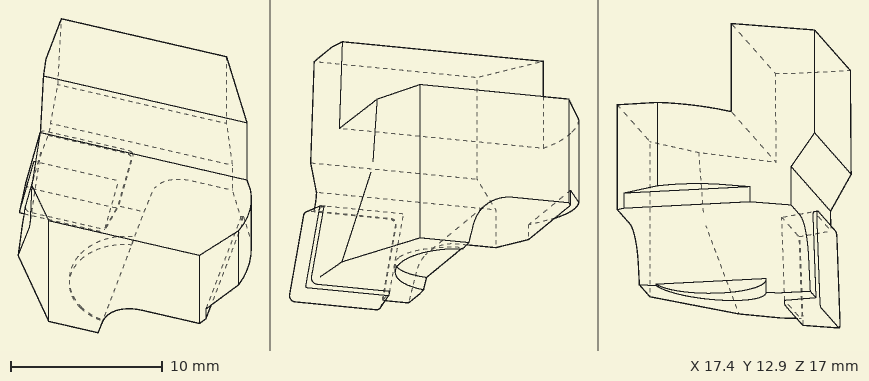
import cadquery as cq
import math



def tan_deg(angle):
    return math.tan(math.radians(angle))


def sin_deg(angle):
    return math.sin(math.radians(angle))


def cos_deg(angle):
    return math.cos(math.radians(angle))


depth = 12.89
height = 17.0
tenon_front_y = 7.88
ledge_front_z = 12.12
ledge_back_z = 11.03
back_slope_top_z = 10.02
back_slope_bottom_z = 7.6
lower_back_y = 11.48
underside_front_z = 1.58
underside_angle = 6.0

front_left_x = 5.08
front_right_x = 15.45
front_left_angle = 35.0
right_angle = 30.0
bulge_start_y = 3.08
bulge_middle = (17.37, 5.15)
bulge_end = (16.89, 7.0)

flank_top_x = 2.12
flank_bend_top_z = 7.48
upper_lean = 2.0
lower_lean = 10.0
bend_radius = 5.0
flank_turn_angle = 10.0

shoulder_z = 6.02
shoulder_x = 15.74
undercut_z = 4.99
undercut_radius = 2.8
undercut_lean = 14.0
undercut_foot_x = 8.23
undercut_foot_z = 0.59

recess_radius = 3.72
recess_center = (8.94, 4.83)
recess_ceiling_z = 1.57

insert_front_y = 9.3
insert_back_y = 11.74
insert_height = 6.33
insert_corner_x = -0.07
insert_clearance = 7.0
nose_radius = 0.4

nose_blend_length = 1.29
nose_blend_tip = 0.02

overrun = 5.22
far_right = front_right_x + 2 * overrun


def make_insert():
    """Rhombic insert with rounded corners, largest at its back face."""
    shift = insert_height * tan_deg(lower_lean)
    side = insert_height / cos_deg(lower_lean)
    corners = [
        (insert_corner_x, 0),
        (insert_corner_x + side, 0),
        (insert_corner_x + side + shift, insert_height),
        (insert_corner_x + shift, insert_height),
    ]
    back_outline = cq.Sketch().polygon([*corners, corners[0]]).vertices().fillet(nose_radius)
    return (
        cq.Workplane("XZ", origin=(0, insert_back_y, 0))
        .placeSketch(back_outline)
        .extrude(insert_back_y - insert_front_y, taper=insert_clearance)
    )


def underside_z(y):
    return underside_front_z - y * tan_deg(underside_angle)


def make_side_prism():
    """Tenon, sloping ledge, stepped back and underside (level behind the insert front), across the full width."""
    points = [
        (0, underside_front_z),
        (0, ledge_front_z),
        (tenon_front_y, ledge_back_z),
        (tenon_front_y, height),
        (depth, height),
        (depth, back_slope_top_z),
        (lower_back_y, back_slope_bottom_z),
        (lower_back_y, underside_z(insert_front_y)),
        (insert_front_y, underside_z(insert_front_y)),
    ]
    return cq.Workplane("YZ").polyline(points).close().extrude(far_right)


def make_plan_prism():
    """Plan outline: front corner flats and the bulged right side."""
    bulge_start = (front_right_x + bulge_start_y * tan_deg(right_angle), bulge_start_y)
    back_right_x = bulge_end[0] - (depth - bulge_end[1]) * tan_deg(right_angle)
    left_flat_y = front_left_x / tan_deg(front_left_angle)
    return (
        cq.Workplane("XY")
        .moveTo(front_left_x, 0)
        .lineTo(front_right_x, 0)
        .lineTo(*bulge_start)
        .threePointArc(bulge_middle, bulge_end)
        .lineTo(back_right_x, depth)
        .lineTo(0, depth)
        .lineTo(0, left_flat_y)
        .close()
        .extrude(height)
    )


def bend_point(lean):
    """Point of the flank's bend arc (X, Z) where the flank leans by the given angle."""
    bend_top_x = flank_top_x - (height - flank_bend_top_z) * tan_deg(upper_lean)
    x = bend_top_x - bend_radius * (cos_deg(upper_lean) - cos_deg(lean))
    z = flank_bend_top_z - bend_radius * (sin_deg(lean) - sin_deg(upper_lean))
    return x, z


def lower_flank_x(z):
    bend_x, bend_z = bend_point(lower_lean)
    return bend_x - (bend_z - z) * tan_deg(lower_lean)


def make_flank_prism(travel_x, travel_y):
    """Everything right of the bent flank profile, swept horizontally from the insert's front plane."""
    outline = (
        cq.Workplane("XZ", origin=(0, insert_front_y, 0))
        .moveTo(far_right, 0)
        .lineTo(far_right, height)
        .lineTo(flank_top_x, height)
        .lineTo(*bend_point(upper_lean))
        .threePointArc(bend_point((upper_lean + lower_lean) / 2), bend_point(lower_lean))
        .lineTo(lower_flank_x(0), 0)
        .close()
    )
    return cq.Workplane(cq.Solid.extrudeLinear(outline.val(), [], cq.Vector(travel_x, travel_y, 0)))


def make_flank():
    """The flank runs straight back above the insert and turns inward in front of it."""
    back = make_flank_prism(0, depth - insert_front_y)
    front = make_flank_prism(insert_front_y * tan_deg(flank_turn_angle), -insert_front_y)
    return back.union(front)


def make_undercut():
    """Material removed below the shoulder, with a concave round into the leaning lower face."""
    center_z = undercut_z - undercut_radius
    round_end_z = center_z + undercut_radius * sin_deg(undercut_lean)
    round_end_x = undercut_foot_x + (round_end_z - undercut_foot_z) * tan_deg(undercut_lean)
    center_x = round_end_x + undercut_radius * cos_deg(undercut_lean)
    middle_angle = (180 - undercut_lean + 90) / 2
    round_middle = (
        center_x + undercut_radius * cos_deg(middle_angle),
        center_z + undercut_radius * sin_deg(middle_angle),
    )
    below_x = undercut_foot_x - (undercut_foot_z + overrun) * tan_deg(undercut_lean)
    return (
        cq.Workplane("XZ", origin=(0, depth, 0))
        .moveTo(below_x, -overrun)
        .lineTo(round_end_x, round_end_z)
        .threePointArc(round_middle, (center_x, undercut_z))
        .lineTo(shoulder_x, undercut_z)
        .lineTo(shoulder_x, shoulder_z)
        .lineTo(far_right, shoulder_z)
        .lineTo(far_right, -overrun)
        .close()
        .extrude(depth)
    )


def make_recess():
    return (
        cq.Workplane("XY")
        .center(*recess_center)
        .circle(recess_radius)
        .extrude(recess_ceiling_z)
    )


def nose_blend_wire(y, size):
    """Corner area outside a tangent round, where the flank meets the underside at the given Y."""
    corner_z = underside_z(y)
    corner_x = lower_flank_x(corner_z) + (insert_front_y - y) * tan_deg(flank_turn_angle)
    radius = nose_radius * size
    half_angle = (90 - lower_lean) / 2
    tangent_length = radius / tan_deg(half_angle)
    to_middle = radius / sin_deg(half_angle) - radius

    def along(distance, angle):
        return corner_x + distance * cos_deg(angle), corner_z + distance * sin_deg(angle)

    return (
        cq.Workplane("XZ", origin=(0, y, 0))
        .moveTo(*along(tangent_length, 0))
        .threePointArc(along(to_middle, half_angle), along(tangent_length, 2 * half_angle))
        .lineTo(*along(-radius, half_angle))
        .close()
        .val()
    )


def make_nose_blend():
    start = nose_blend_wire(insert_front_y, 1)
    tip = nose_blend_wire(insert_front_y - nose_blend_length, nose_blend_tip)
    return cq.Workplane(cq.Solid.makeLoft([start, tip], True))


def make_holder(insert):
    return (
        make_side_prism()
        .intersect(make_plan_prism())
        .intersect(make_flank())
        .cut(make_undercut())
        .cut(make_recess())
        .cut(make_nose_blend())
        .cut(insert)
    )


insert = make_insert()
holder = make_holder(insert)

result = cq.Compound.makeCompound([holder.val(), insert.val()])